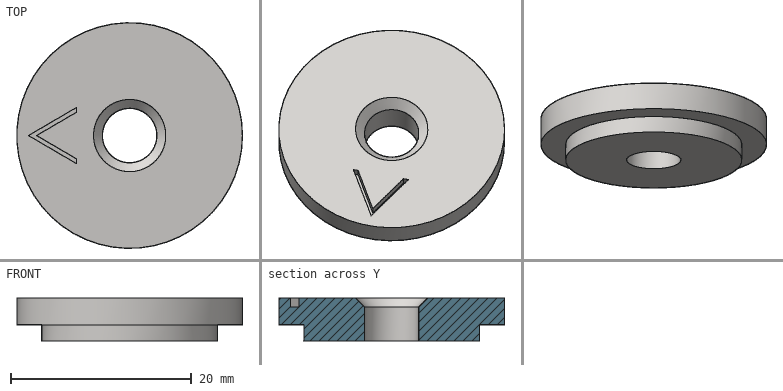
import cadquery as cq

flange_diameter = 25.0
flange_thickness = 3.0
spigot_diameter = 19.5
spigot_length = 1.8
bore_diameter = 6.0
countersink_diameter = 8.0
countersink_angle = 90.0

pointer_tip_x = -11.2
pointer_inner_tip_x = -10.3
pointer_end_x = -5.9
pointer_outer_half_width = 3.1
pointer_inner_half_width = 2.57
pointer_depth = 1.0


def make_body():
    """Flange disc with its underside at Z = 0 and a smaller spigot below it."""
    flange = cq.Workplane("XY").circle(flange_diameter / 2).extrude(flange_thickness)
    spigot = cq.Workplane("XY").circle(spigot_diameter / 2).extrude(-spigot_length)
    return flange.union(spigot)


def cut_bore(body):
    """Through bore on the axis, countersunk from the flange face."""
    return (
        body.faces(">Z")
        .workplane()
        .cskHole(bore_diameter, countersink_diameter, countersink_angle)
    )


def cut_pointer(body):
    """Chevron-shaped groove in the flange face, pointing towards -X."""
    outline = [
        (pointer_tip_x, 0),
        (pointer_end_x, pointer_outer_half_width),
        (pointer_end_x, pointer_inner_half_width),
        (pointer_inner_tip_x, 0),
        (pointer_end_x, -pointer_inner_half_width),
        (pointer_end_x, -pointer_outer_half_width),
    ]
    groove = (
        cq.Workplane("XY")
        .workplane(offset=flange_thickness)
        .polyline(outline)
        .close()
        .extrude(-pointer_depth)
    )
    return body.cut(groove)


result = cut_pointer(cut_bore(make_body()))